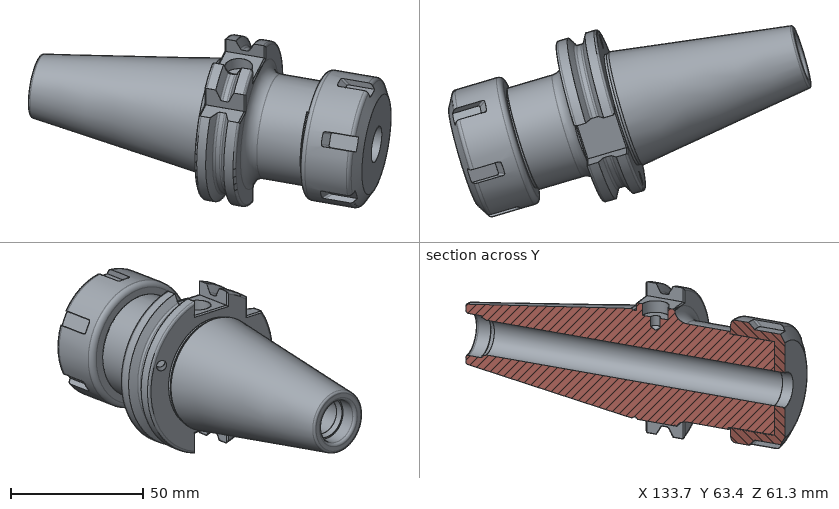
import cadquery as cq
import math


TOTAL_LENGTH = 133.7

CUT_MARGIN = 1.3
SELECTION_MARGIN = 0.1

TAPER_LENGTH = 69.4
TAPER_LARGE_RADIUS = 22.3
TAPER_SLOPE = 7 / 48
SMALL_END_RADIUS = TAPER_LARGE_RADIUS - TAPER_LENGTH * TAPER_SLOPE
SMALL_END_ROUND = 1.0
RELIEF_START = 70.5
RELIEF_RADIUS = 21.8

FLANGE_START = 71.4
FLANGE_END = 87.5
FLANGE_RADIUS = 31.7
FLANGE_ROUND = 1.0
GROOVE_CENTER = 79.4
GROOVE_DEPTH = 3.6
GROOVE_FLOOR_WIDTH = 3.0
GROOVE_WALL_ANGLE = 30
GROOVE_CORNER_RADIUS = 1.1

KEYWAY_WIDTH = 16.2
TOP_KEYWAY_FLOOR = 25.0
BOTTOM_KEYWAY_FLOOR = 22.5
NOTCH_SIDE = 18.3
NOTCH_FLOOR = 18.2
CUT_EDGE_CHAMFER = 0.5

POCKET_RADIUS = 5.2
POCKET_DEPTH = 4.7
DRILL_RADIUS = 1.9
DRILL_DEPTH = 4.0
DRILL_POINT_ANGLE = 118

COOLANT_RADIUS = 2.0
COOLANT_PITCH_RADIUS = 27.0
COOLANT_ANGLE = 20
COOLANT_TILT = 40
COOLANT_DEPTH = 10.7

BODY_RADIUS = 20.0
BODY_FILLET = 5.0
NUT_START = 110.8
NOSE_RADIUS = 19.1
NOSE_END = 129.3

RUNOUT_PITCH = 1.5
RUNOUT_TURNS = 0.9
RUNOUT_ROOT_RADIUS = 19.2
RUNOUT_START_ANGLE = 121

BORE_RADIUS = 7.0
PILOT_RADIUS = 8.4
PILOT_DEPTH = 6.7
PILOT_MOUTH_ROUND = 1.2
BORE_LEAD_IN_RADIUS = 7.9
BORE_LEAD_IN_LENGTH = 2.0

NUT_RADIUS = 25.0
NUT_REAR_ROUND = 2.1
NUT_FRONT_RADIUS = 19.2
NUT_CONE_ANGLE = 30
NUT_SHOULDER_ROUND = 1.9

SLOT_COUNT = 6
SLOT_WIDTH = 5.7
SLOT_FLOOR = 22.5
SLOT_FLOOR_START = 121.0
LONG_SLOT_FLOOR_START = 118.8
SLOT_CORNER_ROUND = 0.7
SLOT_PITCH_ANGLE = 360 / SLOT_COUNT
LONG_SLOT = 1
NUT_ROTATION = -33.2


def revolve_profile(profile):
    return profile.close().revolve(360, (0, 0, 0), (1, 0, 0))


def x_cylinder(start, end, radius):
    return cq.Workplane("YZ", origin=(start, 0, 0)).circle(radius).extrude(end - start)


def holder_blank():
    """Turned outside of the holder: taper, flange, body and nose."""
    profile = (
        cq.Workplane("XZ")
        .moveTo(0, 0)
        .lineTo(0, SMALL_END_RADIUS)
        .lineTo(TAPER_LENGTH, TAPER_LARGE_RADIUS)
        .lineTo(RELIEF_START, RELIEF_RADIUS)
        .lineTo(FLANGE_START, RELIEF_RADIUS)
        .lineTo(FLANGE_START, FLANGE_RADIUS - FLANGE_ROUND)
        .radiusArc((FLANGE_START + FLANGE_ROUND, FLANGE_RADIUS), FLANGE_ROUND)
        .lineTo(FLANGE_END - FLANGE_ROUND, FLANGE_RADIUS)
        .radiusArc((FLANGE_END, FLANGE_RADIUS - FLANGE_ROUND), FLANGE_ROUND)
        .lineTo(FLANGE_END, BODY_RADIUS + BODY_FILLET)
        .radiusArc((FLANGE_END + BODY_FILLET, BODY_RADIUS), -BODY_FILLET)
        .lineTo(NUT_START, BODY_RADIUS)
        .lineTo(NUT_START, NOSE_RADIUS)
        .lineTo(NOSE_END, NOSE_RADIUS)
        .lineTo(NOSE_END, 0)
    )
    return revolve_profile(profile).faces("<X").edges().fillet(SMALL_END_ROUND)


def gripper_groove():
    """V-groove around the flange with rounded bottom corners."""
    floor_radius = FLANGE_RADIUS - GROOVE_DEPTH
    cutter_radius = FLANGE_RADIUS + CUT_MARGIN
    half_floor = GROOVE_FLOOR_WIDTH / 2
    half_mouth = half_floor + (cutter_radius - floor_radius) * math.tan(math.radians(GROOVE_WALL_ANGLE))
    profile = (
        cq.Workplane("XZ")
        .moveTo(GROOVE_CENTER - half_mouth, cutter_radius)
        .lineTo(GROOVE_CENTER - half_floor, floor_radius)
        .lineTo(GROOVE_CENTER + half_floor, floor_radius)
        .lineTo(GROOVE_CENTER + half_mouth, cutter_radius)
    )
    on_floor = cq.selectors.BoxSelector(
        (GROOVE_CENTER - half_floor - SELECTION_MARGIN, -cutter_radius, -cutter_radius),
        (GROOVE_CENTER + half_floor + SELECTION_MARGIN, cutter_radius, cutter_radius),
        boundingbox=True,
    )
    return revolve_profile(profile).edges("%CIRCLE").edges(on_floor).fillet(GROOVE_CORNER_RADIUS)


def rim_cut(y_min, y_max, z_min, z_max):
    """Block through the flange, flared at both flange faces to chamfer the cut's edges."""
    chamfer = CUT_EDGE_CHAMFER

    def section(x, growth):
        return (
            cq.Workplane("YZ", origin=(x, 0, 0))
            .center((y_min + y_max) / 2, (z_min + z_max) / 2)
            .rect(y_max - y_min + 2 * growth, z_max - z_min + 2 * growth)
        )

    cut = section(FLANGE_START, 0).extrude(FLANGE_END + BODY_FILLET - FLANGE_START)
    for face_x, inward in ((FLANGE_START, 1), (FLANGE_END, -1)):
        flare = (
            section(face_x, chamfer)
            .workplane(offset=inward * chamfer)
            .rect(y_max - y_min, z_max - z_min)
            .loft()
        )
        cut = cut.union(flare)
    return cut


def rim_cuts():
    """Two unequal keyways and the corner notch."""
    reach = FLANGE_RADIUS + CUT_MARGIN
    half_width = KEYWAY_WIDTH / 2
    return [
        rim_cut(-half_width, half_width, TOP_KEYWAY_FLOOR, reach),
        rim_cut(-half_width, half_width, -reach, -BOTTOM_KEYWAY_FLOOR),
        rim_cut(-reach, -NOTCH_SIDE, NOTCH_FLOOR, reach),
    ]


def keyway_pocket():
    """Flat-bottomed pocket in the top keyway with a pointed drill hole below it."""
    pocket_floor = TOP_KEYWAY_FLOOR - POCKET_DEPTH
    drill_shoulder = pocket_floor - DRILL_DEPTH
    drill_tip = drill_shoulder - DRILL_RADIUS / math.tan(math.radians(DRILL_POINT_ANGLE / 2))
    return (
        cq.Workplane("XZ", origin=(GROOVE_CENTER, 0, 0))
        .moveTo(0, drill_tip)
        .lineTo(DRILL_RADIUS, drill_shoulder)
        .lineTo(DRILL_RADIUS, pocket_floor)
        .lineTo(POCKET_RADIUS, pocket_floor)
        .lineTo(POCKET_RADIUS, FLANGE_RADIUS)
        .lineTo(0, FLANGE_RADIUS)
        .close()
        .revolve(360, (0, 0, 0), (0, 1, 0))
    )


def coolant_hole(around):
    """Blind hole from the flange's rear face, leaning toward the axis."""
    tilt = math.radians(COOLANT_TILT)
    direction = cq.Vector(math.cos(tilt), -math.sin(tilt), 0)
    entry = cq.Vector(FLANGE_START, COOLANT_PITCH_RADIUS, 0)
    lead_in = 2 * COOLANT_RADIUS
    hole = cq.Solid.makeCylinder(
        COOLANT_RADIUS, COOLANT_DEPTH + lead_in, entry - direction * lead_in, direction
    )
    return cq.Workplane(hole).rotate((0, 0, 0), (1, 0, 0), around)


def thread_runout():
    """Most of a helical turn of the thread root, running out into the body behind the nut."""
    start = NUT_START - RUNOUT_PITCH
    path = cq.Wire.makeHelix(
        RUNOUT_PITCH, RUNOUT_TURNS * RUNOUT_PITCH, RUNOUT_ROOT_RADIUS, center=cq.Vector(0, 0, start)
    )
    turn = (
        cq.Workplane("XZ", origin=(0, 0, start))
        .moveTo(RUNOUT_ROOT_RADIUS, 0)
        .lineTo(BODY_RADIUS + CUT_MARGIN, 0)
        .lineTo(BODY_RADIUS + CUT_MARGIN, RUNOUT_PITCH)
        .lineTo(RUNOUT_ROOT_RADIUS, RUNOUT_PITCH)
        .close()
        .sweep(path, isFrenet=True)
    )
    along_x = turn.rotate((0, 0, 0), (0, 1, 0), 90)
    return along_x.rotate((0, 0, 0), (1, 0, 0), 90 + RUNOUT_START_ANGLE)


def holder_bore():
    """Through bore with a pilot counterbore and rounded mouth at the small end."""
    mouth_radius = PILOT_RADIUS + PILOT_MOUTH_ROUND
    profile = (
        cq.Workplane("XZ")
        .moveTo(0, 0)
        .lineTo(0, mouth_radius)
        .radiusArc((PILOT_MOUTH_ROUND, PILOT_RADIUS), -PILOT_MOUTH_ROUND)
        .lineTo(PILOT_DEPTH, PILOT_RADIUS)
        .lineTo(PILOT_DEPTH, BORE_LEAD_IN_RADIUS)
        .lineTo(PILOT_DEPTH + BORE_LEAD_IN_LENGTH, BORE_RADIUS)
        .lineTo(NOSE_END, BORE_RADIUS)
        .lineTo(NOSE_END, 0)
    )
    return revolve_profile(profile)


def make_holder():
    holder = holder_blank().cut(gripper_groove())
    for cut in rim_cuts():
        holder = holder.cut(cut)
    holder = holder.cut(keyway_pocket())
    for side in (0, 180):
        holder = holder.cut(coolant_hole(side + COOLANT_ANGLE))
    return holder.cut(thread_runout()).cut(holder_bore())


def nut_blank():
    """Turned outside of the nut: rounded rear edge, conical front with a rounded shoulder."""
    cone_angle = math.radians(NUT_CONE_ANGLE)
    cone_start = TOTAL_LENGTH - (NUT_RADIUS - NUT_FRONT_RADIUS) * math.tan(cone_angle)
    turn_angle = math.pi / 2 - cone_angle
    tangent_length = NUT_SHOULDER_ROUND * math.tan(turn_angle / 2)
    shoulder_end = (
        cone_start + tangent_length * math.cos(turn_angle),
        NUT_RADIUS - tangent_length * math.sin(turn_angle),
    )
    profile = (
        cq.Workplane("XZ")
        .moveTo(NUT_START, 0)
        .lineTo(NUT_START, NUT_RADIUS - NUT_REAR_ROUND)
        .radiusArc((NUT_START + NUT_REAR_ROUND, NUT_RADIUS), NUT_REAR_ROUND)
        .lineTo(cone_start - tangent_length, NUT_RADIUS)
        .radiusArc(shoulder_end, NUT_SHOULDER_ROUND)
        .lineTo(TOTAL_LENGTH, NUT_FRONT_RADIUS)
        .lineTo(TOTAL_LENGTH, 0)
    )
    return revolve_profile(profile)


def spanner_slot(floor_start, around):
    """Open-ended slot with a 45 degree run-in at its rear end."""
    rise = NUT_RADIUS + CUT_MARGIN - SLOT_FLOOR
    slot = (
        cq.Workplane("XY", origin=(0, 0, -SLOT_WIDTH / 2))
        .moveTo(floor_start, SLOT_FLOOR)
        .lineTo(floor_start - rise, SLOT_FLOOR + rise)
        .lineTo(TOTAL_LENGTH + CUT_MARGIN, SLOT_FLOOR + rise)
        .lineTo(TOTAL_LENGTH + CUT_MARGIN, SLOT_FLOOR)
        .close()
        .extrude(SLOT_WIDTH)
        .faces("<X")
        .edges("not |Z")
        .fillet(SLOT_CORNER_ROUND)
    )
    return slot.rotate((0, 0, 0), (1, 0, 0), around)


def make_nut():
    nut = nut_blank()
    for index in range(1, SLOT_COUNT + 1):
        floor_start = LONG_SLOT_FLOOR_START if index == LONG_SLOT else SLOT_FLOOR_START
        nut = nut.cut(spanner_slot(floor_start, index * SLOT_PITCH_ANGLE))
    nose_recess = x_cylinder(NUT_START, NOSE_END, NOSE_RADIUS)
    opening = x_cylinder(NOSE_END, TOTAL_LENGTH, BORE_RADIUS)
    nut = nut.cut(nose_recess).cut(opening)
    return nut.rotate((0, 0, 0), (1, 0, 0), NUT_ROTATION)


holder = make_holder()
nut = make_nut()
result = cq.Compound.makeCompound([holder.solids().val(), nut.solids().val()])